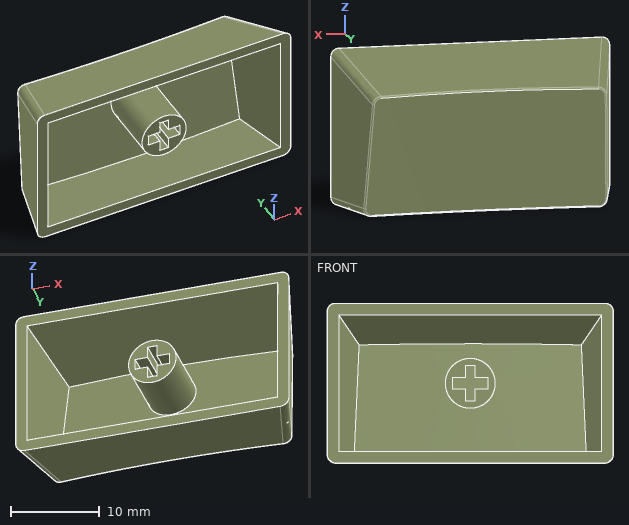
import cadquery as cq
import math

width = 32.2
height = 18.0
wall = 1.32
corner_radius = 1.0
rim_radius = 0.2
block_depth = 11.6
side_draft = 15.0
top_draft = 21.5

dish_tilt = 9.6
dish_chord = 27.05
outer_dish_sag = 0.58
inner_dish_sag = 0.42
outer_dish_y = 8.53
inner_dish_y = 7.45
dish_length = 64.4

post_diameter = 5.6
cross_span = 4.02
cross_upright = 1.1
cross_bar = 1.3


def tapered_block(inset):
    """Block with the drafted walls of the cap, moved inward by inset at Y = 0."""
    half_width = width / 2 - inset
    bottom = -height / 2 + inset
    top = height / 2 - inset
    side_shift = block_depth * math.tan(math.radians(side_draft))
    top_shift = block_depth * math.tan(math.radians(top_draft))
    back_height = top - top_shift - bottom
    return (
        cq.Workplane("XZ")
        .center(0, (top + bottom) / 2)
        .rect(2 * half_width, top - bottom)
        .workplane(offset=-block_depth)
        .center(0, -top_shift / 2)
        .rect(2 * (half_width - side_shift), back_height)
        .loft(ruled=True)
    )


def dish(lowest_y, sag):
    """Cylinder that cuts a concave face with its deepest line at lowest_y."""
    radius = ((dish_chord / 2) ** 2 + sag**2) / (2 * sag)
    tilt = math.radians(dish_tilt)
    along = cq.Vector(0, math.sin(tilt), math.cos(tilt))
    outward = cq.Vector(0, math.cos(tilt), -math.sin(tilt))
    start = cq.Vector(0, lowest_y, 0) + outward * radius - along * (dish_length / 2)
    return cq.Workplane(cq.Solid.makeCylinder(radius, dish_length, start, along))


def extrude_back(sketch):
    """Extrude an XZ outline from the open side toward +Y."""
    return sketch.extrude(-block_depth)


body = tapered_block(0)
body = body.edges("not(<Y or >Y)").fillet(corner_radius)
body = body.cut(dish(outer_dish_y, outer_dish_sag))
dish_face = body.faces(cq.selectors.NearestToPointSelector((0, outer_dish_y, 0)))
body = dish_face.edges().fillet(rim_radius)

cavity = tapered_block(wall).cut(dish(inner_dish_y, inner_dish_sag))

post = extrude_back(cq.Workplane("XZ").circle(post_diameter / 2))
upright = extrude_back(cq.Workplane("XZ").rect(cross_upright, cross_span))
bar = extrude_back(cq.Workplane("XZ").rect(cross_span, cross_bar))
post = post.cut(upright).cut(bar)

result = body.cut(cavity.cut(post))